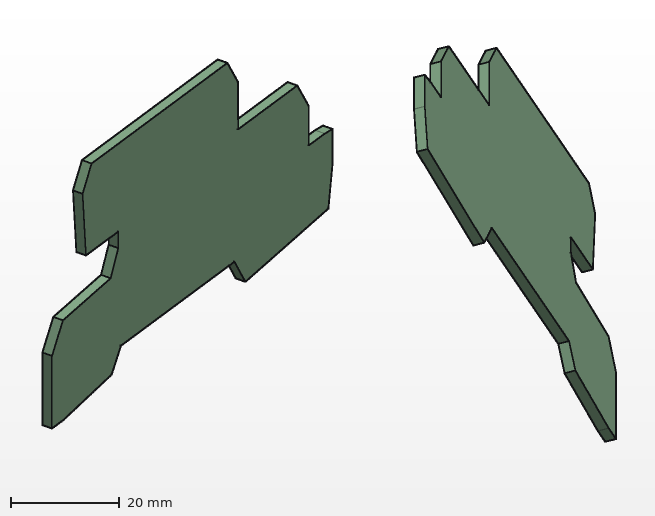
import cadquery as cq

thickness = 2.2
length = 90.7
height = 50.6

low_step_z = 19.95
low_step_bevel_width = 2.5
low_step_bevel_height = 0.3
low_step_width = 7.7
middle_step_z = 34.65
middle_step_y = length - low_step_width
middle_bevel_width = 3.7
middle_bevel_height = 6.3
top_step_y = 60.1
top_bevel_width = 3.45
top_bevel_height = 5.8

nose_y = 9.9
nose_bevel_width = 2.9
nose_bevel_height = 5.1
nose_undercut = 1.1
notch_top_z = 31.7

notch_y = 21.4
notch_wall_height = 3.5
notch_floor_y = 19.0
notch_floor_z = 22.95

foot_top_y = 3.5
foot_top_z = 21.5
foot_side_z = 15.6
foot_flat_width = 3.6
foot_heel_y = 19.3
foot_heel_z = 2.1

recess_z = 6.8
recess_start_y = 22.3
recess_end_y = 59.0

tail_inner_y = 62.5
tail_inner_z = 0.7
tail_outer_inset = 1.4
tail_outer_z = 3.3
tail_side_z = 12.3

foot_outline = [
    (notch_floor_y, notch_floor_z),
    (foot_top_y, foot_top_z),
    (0, foot_side_z),
    (0, 0),
    (foot_flat_width, 0),
    (foot_heel_y, foot_heel_z),
    (recess_start_y, recess_z),
]

tail_outline = [
    (recess_end_y, recess_z),
    (tail_inner_y, tail_inner_z),
    (length - tail_outer_inset, tail_outer_z),
    (length, tail_side_z),
    (length, low_step_z - low_step_bevel_height),
    (length - low_step_bevel_width, low_step_z),
]

steps_outline = [
    (middle_step_y, low_step_z),
    (middle_step_y, middle_step_z - middle_bevel_height),
    (middle_step_y - middle_bevel_width, middle_step_z),
    (top_step_y, middle_step_z),
    (top_step_y, height - top_bevel_height),
    (top_step_y - top_bevel_width, height),
]

nose_outline = [
    (nose_y + nose_bevel_width, height),
    (nose_y, height - nose_bevel_height),
    (nose_y + nose_undercut, notch_top_z),
    (notch_y, notch_top_z),
    (notch_y, notch_top_z - notch_wall_height),
]

outline = foot_outline + tail_outline + steps_outline + nose_outline
result = cq.Workplane("YZ").polyline(outline).close().extrude(thickness)